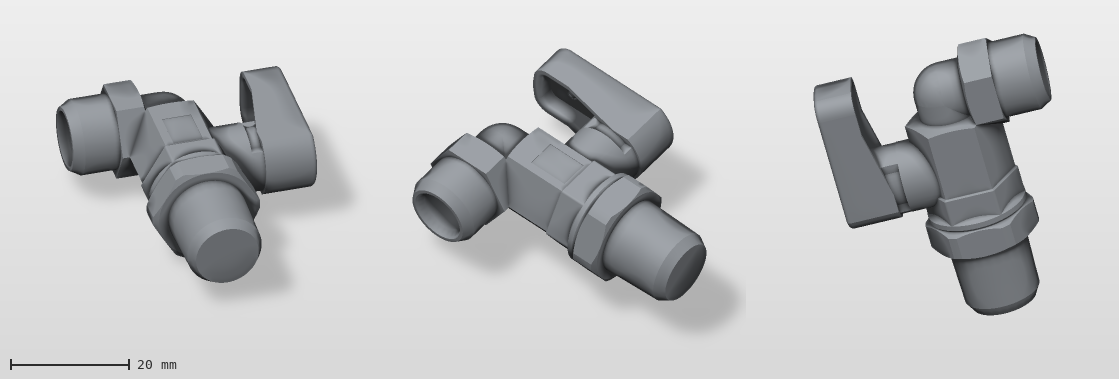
import cadquery as cq
import math


CHAMFER_SLOPE = math.tan(math.radians(30))

port_x = -13.5
pipe_radius = 5.25
body_hex_flats = 14.0
hex_cone_offset = 3.6
hex_cone_length = 0.9
collar_hex_flats = 14.8
collar_hex_start = 2.75
collar_edge_round = 0.5
collar_end_chamfer = 0.25
flange_radius = 8.5
flange_start = 7.65
flange_cone_length = 1.1
body_end = 8.95
flange_chamfer = 0.4

port_hex_end = -9.3
port_end = -17.21
thread_radius = 6.53
thread_chamfer = 1.8
mouth_radius = 4.86
bore_radius = 4.09
mouth_depth = 1.6
bore_end = -8.0
inner_bore_radius = 3.3
inner_bore_end = -3.6
inner_bore_chamfer = 0.55

boss_radius = 6.05
boss_top = 10.5
panel_length = 7.25
panel_width = 5.1
panel_center_x = -1.5
panel_depth = 0.1

nut_flats = 17.0
nut_corner_radius = 9.375
nut_front_radius = 8.3
nut_back_radius = 8.45
nut_end = 14.0
taper_start_radius = 6.85
taper_end_radius = 6.52
fitting_end = 26.487

lever_left = -19.05
lever_hub_radius = 6.55
lever_half_width = 5.45
lever_corner_radius = 3.0
lever_tip_tangent_z = 3.0
lever_top = 21.49
lever_top_round = 0.75
lever_tip_bottom = 14.9
lever_hub_bottom = 12.46
slope_start_x = -11.45
slope_end_x = 0.4
lever_rim_round = 0.68
lever_floor = 17.7
neck_radius = 5.0
stop_radius = 6.0
stop_half_width = 4.0
lever_wall = lever_half_width - stop_half_width
cavity_end_x = -math.sqrt(stop_radius ** 2 - stop_half_width ** 2)

button_x = -12.45
button_ring_radius = 1.35
button_ring_hole_radius = 1.1
button_ring_height = 0.35
button_radius = 0.85


def turned_on_x(profile):
    """Solid of revolution about the X axis from (x, radius) points."""
    return cq.Workplane("XY").polyline(profile).close().revolve(360, (0, 0, 0), (1, 0, 0))


def turned_on_port(profile):
    """Solid of revolution about the side port axis from (radius, y) points."""
    points = [(port_x + radius, y) for radius, y in profile]
    return cq.Workplane("XY").polyline(points).close().revolve(360, (port_x, 0, 0), (port_x, 1, 0))


def hexagon_on_x(flats, start, end):
    """Hexagonal bar along X with corners on +Y and -Y."""
    across_corners = flats / math.cos(math.radians(30))
    return cq.Workplane("YZ").workplane(offset=start).polygon(6, across_corners).extrude(end - start)


def hexagon_on_port(flats, start, end):
    """Hexagonal bar along -Y on the port axis with corners on +X and -X."""
    across_corners = flats / math.cos(math.radians(30))
    plane = cq.Plane(origin=(port_x, start, 0), xDir=(1, 0, 0), normal=(0, -1, 0))
    return cq.Workplane(plane).polygon(6, across_corners).extrude(start - end)


def make_elbow():
    run = cq.Workplane("YZ").workplane(offset=port_x).circle(pipe_radius).extrude(-port_x)
    drop = cq.Workplane("XZ").center(port_x, 0).circle(pipe_radius).extrude(-port_hex_end)
    bend = cq.Workplane("XY").sphere(pipe_radius).translate((port_x, 0, 0))
    return run.union(drop).union(bend)


def make_body_hexagons():
    corner = body_hex_flats / math.sqrt(3)
    start_x = port_x + hex_cone_offset
    main_end = collar_hex_start + collar_end_chamfer
    main_envelope = turned_on_x([
        (start_x, 0),
        (start_x, pipe_radius),
        (start_x + hex_cone_length, corner),
        (main_end, corner),
        (main_end, 0),
    ])
    port_envelope = turned_on_port([
        (0, -hex_cone_offset),
        (pipe_radius, -hex_cone_offset),
        (corner, -hex_cone_offset - hex_cone_length),
        (corner, port_hex_end),
        (0, port_hex_end),
    ])
    main = hexagon_on_x(body_hex_flats, start_x, main_end).intersect(main_envelope)
    port = hexagon_on_port(body_hex_flats, -hex_cone_offset, port_hex_end).intersect(port_envelope)
    return main.union(port)


def make_collar():
    hexagon = hexagon_on_x(collar_hex_flats, collar_hex_start, flange_start)
    hexagon = hexagon.edges("|X").fillet(collar_edge_round)
    hexagon = hexagon.faces("<X").edges().chamfer(collar_end_chamfer)
    cone_foot_radius = collar_hex_flats / 2 - collar_edge_round
    cone_start = flange_start - flange_cone_length
    flange = turned_on_x([
        (cone_start, 0),
        (cone_start, cone_foot_radius),
        (flange_start, flange_radius),
        (body_end - flange_chamfer, flange_radius),
        (body_end, flange_radius - flange_chamfer),
        (body_end, 0),
    ])
    return hexagon.union(flange)


def make_port_thread():
    return turned_on_port([
        (0, port_hex_end),
        (thread_radius, port_hex_end),
        (thread_radius, port_end + thread_chamfer),
        (thread_radius - thread_chamfer * CHAMFER_SLOPE, port_end),
        (0, port_end),
    ])


def make_port_bore():
    return turned_on_port([
        (0, port_end),
        (mouth_radius, port_end),
        (bore_radius, port_end + mouth_depth),
        (bore_radius, bore_end),
        (inner_bore_radius, bore_end),
        (inner_bore_radius, inner_bore_end - inner_bore_chamfer),
        (inner_bore_radius - inner_bore_chamfer, inner_bore_end),
        (0, inner_bore_end),
    ])


def make_valve_body():
    boss = cq.Workplane("XZ").circle(boss_radius).extrude(-boss_top)
    panel = cq.Workplane("XY").box(panel_length, panel_width, 2 * panel_depth)
    panel = panel.translate((panel_center_x, 0, body_hex_flats / 2))
    body = make_elbow().union(make_body_hexagons()).union(make_collar())
    body = body.union(boss).union(make_port_thread())
    return body.cut(make_port_bore()).cut(panel)


def make_end_fitting():
    front_chamfer = (nut_corner_radius - nut_front_radius) * CHAMFER_SLOPE
    back_chamfer = (nut_corner_radius - nut_back_radius) * CHAMFER_SLOPE
    nut_envelope = turned_on_x([
        (body_end, 0),
        (body_end, nut_front_radius),
        (body_end + front_chamfer, nut_corner_radius),
        (nut_end - back_chamfer, nut_corner_radius),
        (nut_end, nut_back_radius),
        (nut_end, 0),
    ])
    nut = hexagon_on_x(nut_flats, body_end, nut_end).intersect(nut_envelope)
    thread = turned_on_x([
        (nut_end, 0),
        (nut_end, taper_start_radius),
        (fitting_end - thread_chamfer, taper_end_radius),
        (fitting_end, taper_end_radius - thread_chamfer * CHAMFER_SLOPE),
        (fitting_end, 0),
    ])
    return nut.union(thread)


def lever_outline(inset):
    """Plan outline of the lever at its top, moved inwards by the inset.

    The hub end is an arc about the stem axis. The tip is slightly bulged, with rounded corners.
    """
    half_width = lever_half_width - inset
    hub_radius = lever_hub_radius - inset
    corner_radius = lever_corner_radius - inset
    tip_x = lever_left + inset
    hub_x = math.sqrt(hub_radius ** 2 - half_width ** 2)
    tangent_sine = (lever_tip_tangent_z - lever_half_width + lever_corner_radius) / lever_corner_radius
    tangent_angle = math.asin(tangent_sine)
    bulge_radius = lever_tip_tangent_z / tangent_sine - inset
    tangent_z = bulge_radius * tangent_sine
    tangent_x = tip_x + bulge_radius * (1 - math.cos(tangent_angle))
    side_x = tangent_x + corner_radius * math.cos(tangent_angle)
    middle_angle = (tangent_angle + math.pi / 2) / 2
    corner_x = side_x - corner_radius * math.cos(middle_angle)
    corner_z = half_width - corner_radius * (1 - math.sin(middle_angle))
    return (
        cq.Workplane("XZ", origin=(0, lever_top, 0))
        .moveTo(side_x, half_width)
        .lineTo(hub_x, half_width)
        .threePointArc((hub_radius, 0), (hub_x, -half_width))
        .lineTo(side_x, -half_width)
        .threePointArc((corner_x, -corner_z), (tangent_x, -tangent_z))
        .threePointArc((tip_x, 0), (tangent_x, tangent_z))
        .threePointArc((corner_x, corner_z), (side_x, half_width))
        .close()
    )


def make_lever_cavity():
    """Hollow under the lever, from the floor down and from the tip to the flanks of the stops."""
    height = lever_top - lever_hub_bottom
    length = cavity_end_x - lever_left
    limits = cq.Workplane("XY").box(length, height, 2 * lever_half_width, centered=(False, False, True))
    limits = limits.translate((lever_left, lever_floor - height, 0))
    return lever_outline(lever_wall).extrude(height).intersect(limits)


def make_lever():
    block = lever_outline(0).extrude(lever_top - lever_hub_bottom)
    block = block.faces(">Y").edges().fillet(lever_top_round)
    below_tip = (
        cq.Workplane("XY")
        .polyline([
            (lever_left, lever_hub_bottom),
            (lever_left, lever_tip_bottom),
            (slope_start_x, lever_tip_bottom),
            (slope_end_x, lever_hub_bottom),
        ])
        .close()
        .extrude(lever_half_width, both=True)
    )
    lever = block.cut(below_tip).cut(make_lever_cavity())
    inner_reach = lever_half_width - lever_wall / 2
    inner_rim = cq.selectors.BoxSelector(
        (lever_left + lever_wall / 2, lever_hub_bottom, -inner_reach),
        (cavity_end_x + lever_wall / 2, lever_tip_bottom + lever_wall / 2, inner_reach),
        boundingbox=True,
    )
    lever = lever.edges(inner_rim).edges("not |Z").fillet(lever_rim_round)

    neck_height = lever_floor - boss_top
    neck = cq.Workplane("XZ", origin=(0, lever_floor, 0)).circle(neck_radius).extrude(neck_height)
    stops = (
        cq.Workplane("XZ", origin=(0, lever_floor, 0))
        .circle(stop_radius)
        .extrude(neck_height)
        .intersect(cq.Workplane("XY").box(4 * stop_radius, 4 * lever_top, 2 * stop_half_width))
    )
    return lever.union(neck).union(stops).union(make_button())


def make_button():
    ring = (
        cq.Workplane("XZ", origin=(button_x, lever_floor, 0))
        .circle(button_ring_radius)
        .circle(button_ring_hole_radius)
        .extrude(button_ring_height)
    )
    dome = cq.Workplane("XY").sphere(button_radius).translate((button_x, lever_floor, 0))
    return ring.union(dome)


valve_body = make_valve_body()
end_fitting = make_end_fitting()
lever = make_lever()

result = cq.Compound.makeCompound([valve_body.val(), end_fitting.val(), lever.val()])